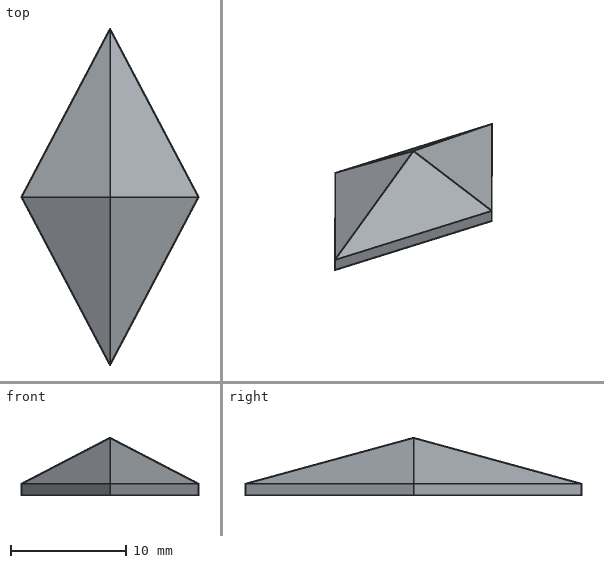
import cadquery as cq

width = 15.4
length = 29.24
total_height = 5.0
rim_height = 1.0


def rhombus_corners(z):
    """Corners of the rhombic outline at height z, counter-clockwise from +X."""
    return [
        (width / 2, 0, z),
        (0, length / 2, z),
        (-width / 2, 0, z),
        (0, -length / 2, z),
    ]


def flat_face(points):
    """Planar face bounded by straight edges through the points."""
    outline = cq.Wire.makePolygon([cq.Vector(*point) for point in points], close=True)
    return cq.Face.makeFromWires(outline)


def faceted_gem():
    """Rhombic plate topped by a four-sided pyramid, as one closed solid."""
    bottom = rhombus_corners(0)
    rim = rhombus_corners(rim_height)
    apex = (0, 0, total_height)

    faces = [flat_face(bottom[::-1])]
    for i in range(len(rim)):
        j = (i + 1) % len(rim)
        faces.append(flat_face([bottom[i], bottom[j], rim[j], rim[i]]))
        faces.append(flat_face([rim[i], rim[j], apex]))
    return cq.Solid.makeSolid(cq.Shell.makeShell(faces))


result = cq.Workplane("XY").newObject([faceted_gem()])